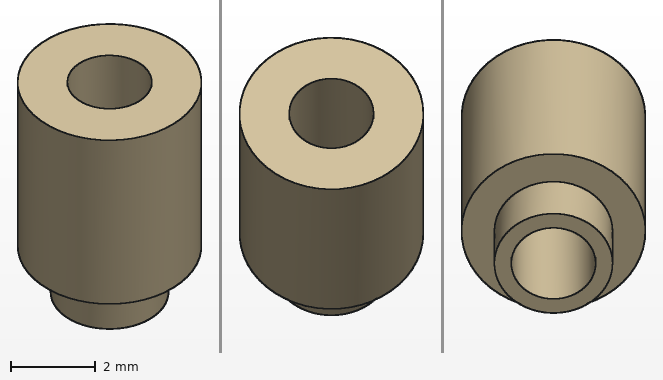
import cadquery as cq

total_height = 6.4
spigot_height = 1.4
body_diameter = 4.35
spigot_diameter = 2.8
bore_diameter = 2.0

body_height = total_height - spigot_height

spigot = cq.Workplane("XY").circle(spigot_diameter / 2).extrude(spigot_height)
spacer = spigot.faces(">Z").workplane().circle(body_diameter / 2).extrude(body_height)

result = spacer.faces(">Z").workplane().circle(bore_diameter / 2).cutThruAll()